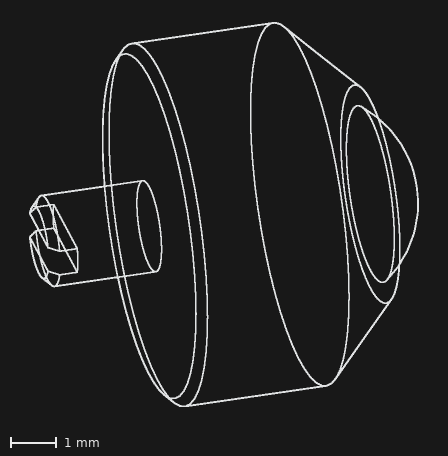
import cadquery as cq
import math

body_radius = 4.0
body_length = 5.0
edge_chamfer = 0.2
shoulder_radius = 2.4
dome_height = 0.99
dome_radius = 2.4
stud_radius = 1.0
stud_length = 2.5
slot_width = 0.6
slot_depth = 0.6

cone_start = body_length - (body_radius - shoulder_radius)
dome_tip = body_length + dome_height


def dome_half_width(distance_from_tip):
    """Radius of the dome at a given distance below its tip."""
    return math.sqrt(distance_from_tip * (2 * dome_radius - distance_from_tip))


def make_turned_body():
    """Revolve the half profile of stud, body, cone and dome."""
    profile = (
        cq.Workplane("XY")
        .moveTo(0, -stud_length)
        .lineTo(stud_radius - edge_chamfer, -stud_length)
        .lineTo(stud_radius, edge_chamfer - stud_length)
        .lineTo(stud_radius, 0)
        .lineTo(body_radius - edge_chamfer, 0)
        .lineTo(body_radius, edge_chamfer)
        .lineTo(body_radius, cone_start)
        .lineTo(shoulder_radius, body_length)
        .lineTo(dome_half_width(dome_height), body_length)
        .threePointArc(
            (dome_half_width(dome_height / 2), body_length + dome_height / 2),
            (0, dome_tip),
        )
        .close()
    )
    return profile.revolve(360, (0, 0, 0), (0, 1, 0))


def make_driver_slot():
    """Screwdriver slot running along X across the stud end."""
    return (
        cq.Workplane("XY")
        .box(2 * stud_radius, slot_depth, slot_width, centered=(True, False, True))
        .translate((0, -stud_length, 0))
    )


result = make_turned_body().cut(make_driver_slot())